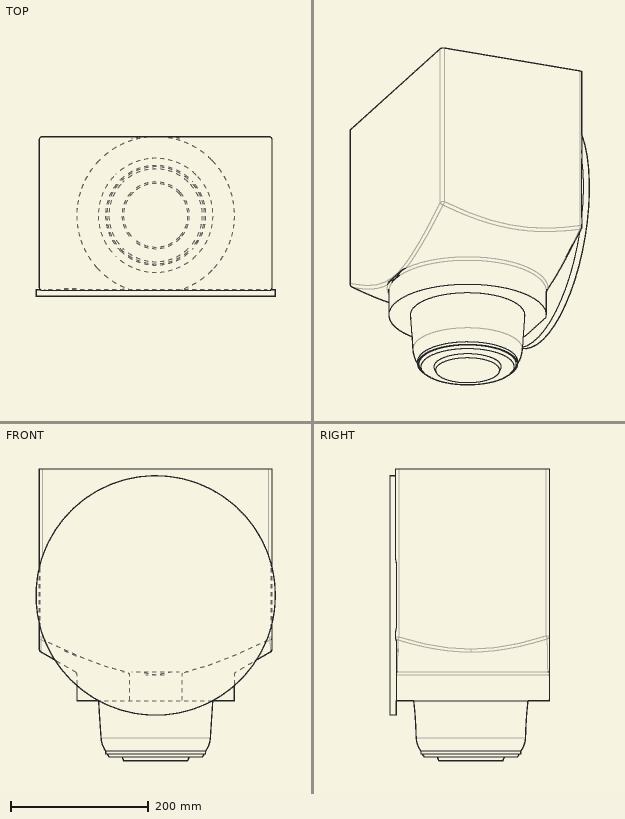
import cadquery as cq
import math

overall_depth = 233.2
overall_height = 426.2

housing_width = 340.0
housing_depth = 225.0
housing_top = 184.7
housing_back = 115.0
housing_front = housing_back - housing_depth
housing_center_y = (housing_front + housing_back) / 2
edge_radius = 5.0

disc_diameter = 349.6
disc_front = housing_back - overall_depth
disc_inset = 1.5
disc_thickness = housing_front + disc_inset - disc_front

cone_angle = math.radians(30.0)
cone_start_radius = 60.0
cone_end_radius = math.hypot(housing_width, housing_depth)
collar_radius = housing_back
collar_top = -113.0
collar_bottom = -154.0
collar_fillet = 5.0

nose_bottom = housing_top - overall_height
nose_top_radius = 83.5
nose_taper_end_radius = 80.0
nose_taper_end = -208.0
lip_top_radius = 73.0
lip_top = -227.3
lip_radius = 142.0 / 2
lip_edge = -231.5
lip_bottom = -236.0
lip_bottom_radius = 68.0
tip_top_radius = 49.0
tip_radius = 93.5 / 2


def cone_height(radius):
    """Z of the conical underside at a distance from the spindle axis."""
    return collar_top + (radius - collar_radius) * math.tan(cone_angle)


def slab(bottom, top):
    """Block with the housing's plan outline between two heights."""
    return (
        cq.Workplane("XY", origin=(0, housing_center_y, bottom))
        .rect(housing_width, housing_depth)
        .extrude(top - bottom)
    )


def turned(profile):
    """Revolve a closed XZ profile about the Z axis."""
    return profile.close().revolve(360, (0, 0, 0), (0, 1, 0))


def make_housing():
    """Block trimmed below by a cone, with every edge rounded except the top rim."""
    cone_bottom = cone_height(cone_start_radius)
    envelope = turned(
        cq.Workplane("XZ")
        .moveTo(0, cone_bottom)
        .lineTo(cone_start_radius, cone_bottom)
        .lineTo(cone_end_radius, cone_height(cone_end_radius))
        .lineTo(cone_end_radius, housing_top)
        .lineTo(0, housing_top)
    )
    block = slab(cone_bottom, housing_top).intersect(envelope)
    return block.faces("<X or >X or <Y or >Y").edges("not >Z").fillet(edge_radius)


def make_collar():
    """Round collar flaring into the cone, cut flush with the housing's front and back."""
    half_turn = (math.pi / 2 - cone_angle) / 2
    setback = collar_fillet * math.tan(half_turn)
    flare_radius = collar_radius + setback * math.cos(cone_angle)
    arc_center_radius = collar_radius + collar_fillet
    arc_center_z = collar_top - setback
    middle_angle = math.pi - half_turn
    flare_middle = (
        arc_center_radius + collar_fillet * math.cos(middle_angle),
        arc_center_z + collar_fillet * math.sin(middle_angle),
    )
    collar = turned(
        cq.Workplane("XZ")
        .moveTo(0, collar_bottom)
        .lineTo(collar_radius, collar_bottom)
        .lineTo(collar_radius, arc_center_z)
        .threePointArc(flare_middle, (flare_radius, cone_height(flare_radius)))
        .lineTo(0, cone_height(flare_radius))
    )
    return collar.intersect(slab(collar_bottom, housing_top))


def make_nose():
    """Tapered spindle nose with a rounded shoulder, a lip and a small end tip."""
    return turned(
        cq.Workplane("XZ")
        .moveTo(0, collar_bottom)
        .lineTo(nose_top_radius, collar_bottom)
        .lineTo(nose_taper_end_radius, nose_taper_end)
        .tangentArcPoint((lip_top_radius, lip_top), relative=False)
        .lineTo(lip_top_radius, lip_edge)
        .lineTo(lip_radius, lip_edge)
        .lineTo(lip_bottom_radius, lip_bottom)
        .lineTo(tip_top_radius, lip_bottom)
        .lineTo(tip_radius, nose_bottom)
        .lineTo(0, nose_bottom)
    )


def make_disc():
    """Large flat disc on the housing's front face."""
    return (
        cq.Workplane("XZ", origin=(0, disc_front, 0))
        .circle(disc_diameter / 2)
        .extrude(-disc_thickness)
    )


result = make_housing().union(make_collar()).union(make_nose()).union(make_disc())